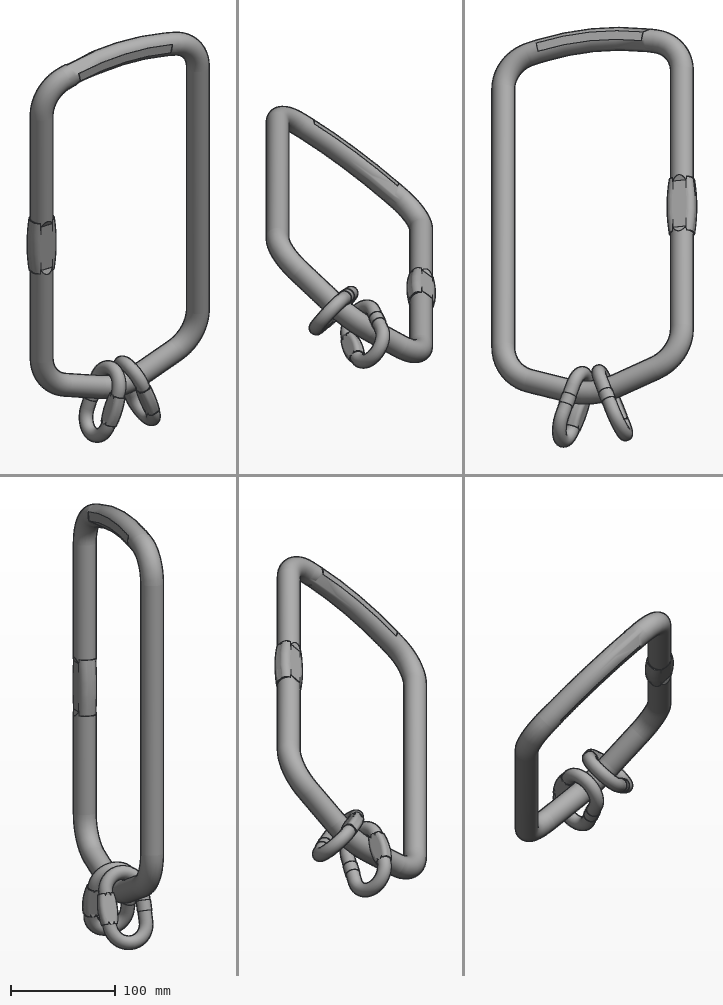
import cadquery as cq
import math

bar_radius = 11.0
leg_offset = 88.5
bow_top = 201.0
bow_radius = 254.5
shoulder_radius = 34.0
hip_radius = 40.3
keel_radius = 68.0
keel_bottom = -160.5
run_slope = math.radians(20)

bow_flat_height = 9.0
bow_flat_half_span = 52.0

bar_nut_z = 20.5
bar_nut = dict(half_length=27.5, belly=14.0, end=12.0, flat=9.0, edge_radius=6.8,
               flat_half_length=23.7, ramp_half_length=29.0, rod_radius=bar_radius)

link_radius = 13.0 / 2
link_bend_radius = 18.5
link_half_straight = 15.3
link_tilt = 20.0
link_y = 19.5
overall_height = 424.0
link_drop = (link_half_straight + link_bend_radius) * math.cos(math.radians(link_tilt)) + link_radius
link_z = bow_top + bar_radius - overall_height + link_drop
sleeve_radius = 14.0 / 2
sleeve_half_length = 5.0
link_nut = dict(half_length=15.0, belly=18.2 / 2, end=7.0, flat=6.0, edge_radius=4.0,
                flat_half_length=12.7, ramp_half_length=15.5, rod_radius=link_radius)


def screw_nut(
    rod, half_length, belly, end, flat, edge_radius, flat_half_length, ramp_half_length, rod_radius
):
    """Add a nut with bulging X sides around a rod along Z, then mill its two Y sides flat.

    The milled flats lie below the rod's surface and ramp out through it at both ends.
    """
    blank = (
        cq.Workplane("XZ")
        .moveTo(-end, -half_length)
        .lineTo(end, -half_length)
        .threePointArc((belly, 0), (end, half_length))
        .lineTo(-end, half_length)
        .threePointArc((-belly, 0), (-end, -half_length))
        .close()
        .extrude(flat, both=True)
        .edges("(not |X) and (not |Y)")
        .fillet(edge_radius)
    )
    milled_side = (
        cq.Workplane("YZ")
        .moveTo(rod_radius, -ramp_half_length)
        .lineTo(flat, -flat_half_length)
        .lineTo(flat, flat_half_length)
        .lineTo(rod_radius, ramp_half_length)
        .close()
        .extrude(rod_radius, both=True)
    )
    return rod.union(blank).cut(milled_side).cut(milled_side.mirror("XZ"))


def bar_centreline():
    """Closed wire of tangent arcs and lines in the YZ plane, starting at the nut."""
    bow_centre = bow_top - bow_radius
    shoulder_y = leg_offset - shoulder_radius
    shoulder_reach = bow_radius - shoulder_radius
    leg_top = bow_centre + math.sqrt(shoulder_reach**2 - shoulder_y**2)
    bow_angle = math.asin(shoulder_y / shoulder_reach)
    bow_end = (bow_radius * math.sin(bow_angle), bow_centre + bow_radius * math.cos(bow_angle))
    turn = (bow_angle + math.pi / 2) / 2
    shoulder_mid = (shoulder_y + shoulder_radius * math.sin(turn), leg_top + shoulder_radius * math.cos(turn))

    keel_centre = keel_bottom + keel_radius
    keel_end = (keel_radius * math.sin(run_slope), keel_centre - keel_radius * math.cos(run_slope))
    hip_y = leg_offset - hip_radius
    run_end_y = hip_y + hip_radius * math.sin(run_slope)
    run_end = (run_end_y, keel_end[1] + (run_end_y - keel_end[0]) * math.tan(run_slope))
    leg_bottom = run_end[1] + hip_radius * math.cos(run_slope)
    turn = (run_slope + math.pi / 2) / 2
    hip_mid = (hip_y + hip_radius * math.sin(turn), leg_bottom - hip_radius * math.cos(turn))

    def left(point):
        return (-point[0], point[1])

    return (
        cq.Workplane("YZ")
        .moveTo(-leg_offset, bar_nut_z)
        .lineTo(-leg_offset, leg_top)
        .threePointArc(left(shoulder_mid), left(bow_end))
        .threePointArc((0, bow_top), bow_end)
        .threePointArc(shoulder_mid, (leg_offset, leg_top))
        .lineTo(leg_offset, leg_bottom)
        .threePointArc(hip_mid, run_end)
        .lineTo(*keel_end)
        .threePointArc((0, keel_bottom), left(keel_end))
        .lineTo(*left(run_end))
        .threePointArc(left(hip_mid), (-leg_offset, leg_bottom))
        .close()
    )


def bow_flats():
    """Cutters following the bow that leave a flat on each X side of the bar."""
    flat_x = math.sqrt(bar_radius**2 - (bow_flat_height / 2) ** 2)
    half_angle = math.degrees(math.asin(bow_flat_half_span / bow_radius))
    return (
        cq.Workplane("XZ", origin=(0, 0, bow_top - bow_radius))
        .pushPoints([(flat_x + bar_radius / 2, bow_radius), (-flat_x - bar_radius / 2, bow_radius)])
        .rect(bar_radius, 2 * bar_radius)
        .revolve(2 * half_angle, (0, 0), (1, 0))
        .rotate((0, 0, bow_top - bow_radius), (1, 0, bow_top - bow_radius), -half_angle)
    )


def make_frame():
    bar = cq.Workplane("XY", origin=(0, -leg_offset, bar_nut_z)).circle(bar_radius).sweep(bar_centreline())
    bar = bar.cut(bow_flats())
    to_nut = cq.Location(cq.Vector(0, -leg_offset, bar_nut_z), cq.Vector(0, 0, 1), 90)
    bar_at_nut = cq.Workplane(bar.val().moved(to_nut.inverse))
    return cq.Workplane(screw_nut(bar_at_nut, **bar_nut).val().moved(to_nut))


def make_link(side):
    """One link on the side -1 or +1 of Y, its lower end tilted outwards."""
    centreline = (
        cq.Workplane("XZ")
        .moveTo(link_bend_radius, 0)
        .lineTo(link_bend_radius, link_half_straight)
        .threePointArc((0, link_half_straight + link_bend_radius), (-link_bend_radius, link_half_straight))
        .lineTo(-link_bend_radius, -link_half_straight)
        .threePointArc((0, -link_half_straight - link_bend_radius), (link_bend_radius, -link_half_straight))
        .close()
    )
    ring = cq.Workplane("XY", origin=(link_bend_radius, 0, 0)).circle(link_radius).sweep(centreline)
    ring = screw_nut(ring.translate((-link_bend_radius, 0, 0)), **link_nut)
    ring = ring.translate((link_bend_radius, 0, 0))
    sleeve = (
        cq.Workplane("XY", origin=(-link_bend_radius, 0, -sleeve_half_length))
        .circle(sleeve_radius)
        .extrude(2 * sleeve_half_length)
    )
    link = ring.union(sleeve)
    return link.rotate((0, 0, 0), (1, 0, 0), side * link_tilt).translate((0, side * link_y, link_z))


frame = make_frame()
links = [make_link(side) for side in (-1, 1)]
result = cq.Compound.makeCompound([frame.val(), *[link.val() for link in links]])